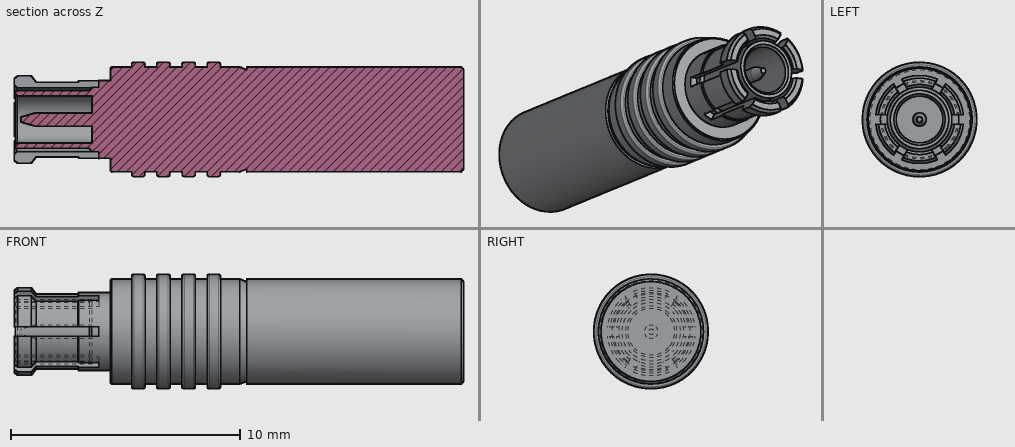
import cadquery as cq


total_length = 19.6
ring_diameter = 5.0
ring_radius = ring_diameter / 2

body_start = 4.2
body_radius = 2.3
body_edge = 0.05
groove_start = 9.84
groove_radius = 2.18
sleeve_start = 10.13
sleeve_chamfer = 0.12

ring_count = 4
first_ring_start = 5.12
ring_pitch = 1.1
ring_width = 0.59
ring_edge = 0.1

head_radius = 1.92
head_end = 0.75
head_chamfer_length = 0.15
head_chamfer_depth = 0.12
neck_start = 0.96
neck_radius = 1.65
collar_start = 2.82
collar_radius = 1.7
collar_chamfer = 0.05
finger_inner_radius = 1.41
finger_mouth_chamfer = 0.12

finger_count = 6
slot_width = 0.41
slot_end = 3.68

tube_start = 0.04
tube_radius = 1.27
tube_bore_radius = 1.02
tube_mouth_chamfer = 0.1
tube_bore_end = 3.4
gap_cone_start = 3.27
gap_end = 3.4

pin_start = 0.3
pin_radius = 0.3
pin_tip_radius = 0.12
pin_taper_length = 0.63


def revolve_about_x(points):
    """Revolve a closed outline of (x, radius) points about the X axis."""
    return cq.Workplane("XY").polyline(points).close().revolve(360, (0, 0, 0), (1, 0, 0))


def cylinder(start, end, radius):
    return cq.Workplane("YZ", origin=(start, 0, 0)).circle(radius).extrude(end - start)


def make_shell():
    """Solid outer form from the finger heads to the end of the sleeve."""
    return revolve_about_x([
        (0, 0),
        (0, head_radius - head_chamfer_depth),
        (head_chamfer_length, head_radius),
        (head_end, head_radius),
        (neck_start, neck_radius),
        (collar_start - collar_chamfer, neck_radius),
        (collar_start, collar_radius),
        (body_start, collar_radius),
        (body_start, body_radius - body_edge),
        (body_start + body_edge, body_radius),
        (groove_start, body_radius),
        (sleeve_start, groove_radius),
        (sleeve_start, body_radius),
        (total_length - sleeve_chamfer, body_radius),
        (total_length, body_radius - sleeve_chamfer),
        (total_length, 0),
    ])


def make_ring(start):
    return cylinder(start, start + ring_width, ring_radius).edges().fillet(ring_edge)


def make_mouth_cut():
    """Everything inside the fingers except the tube: gap, tapered gap floor and finger mouths."""
    return revolve_about_x([
        (0, 0),
        (0, finger_inner_radius + finger_mouth_chamfer),
        (finger_mouth_chamfer, finger_inner_radius),
        (gap_end, finger_inner_radius),
        (gap_cone_start, tube_radius),
        (tube_start, tube_radius),
        (tube_start, 0),
    ])


def make_slot(angle):
    """Radial slot that leaves the inner tube untouched."""
    slot = (
        cq.Workplane("XY")
        .box(slot_end, ring_radius, slot_width, centered=(False, False, True))
        .cut(cylinder(0, slot_end, finger_inner_radius))
    )
    return slot.rotate((0, 0, 0), (1, 0, 0), angle)


def make_tube_bore():
    """Blind bore with a chamfered mouth."""
    return revolve_about_x([
        (tube_start, 0),
        (tube_start, tube_bore_radius + tube_mouth_chamfer),
        (tube_start + tube_mouth_chamfer, tube_bore_radius),
        (tube_bore_end, tube_bore_radius),
        (tube_bore_end, 0),
    ])


def make_pin():
    """Contact pin with a tapered tip, rooted in the floor of the bore."""
    return revolve_about_x([
        (pin_start, 0),
        (pin_start, pin_tip_radius),
        (pin_start + pin_taper_length, pin_radius),
        (tube_bore_end, pin_radius),
        (tube_bore_end, 0),
    ])


result = make_shell()
for ring_index in range(ring_count):
    result = result.union(make_ring(first_ring_start + ring_index * ring_pitch))

result = result.cut(make_mouth_cut())
for finger_index in range(finger_count):
    result = result.cut(make_slot(finger_index * 360 / finger_count))

result = result.cut(make_tube_bore()).union(make_pin())